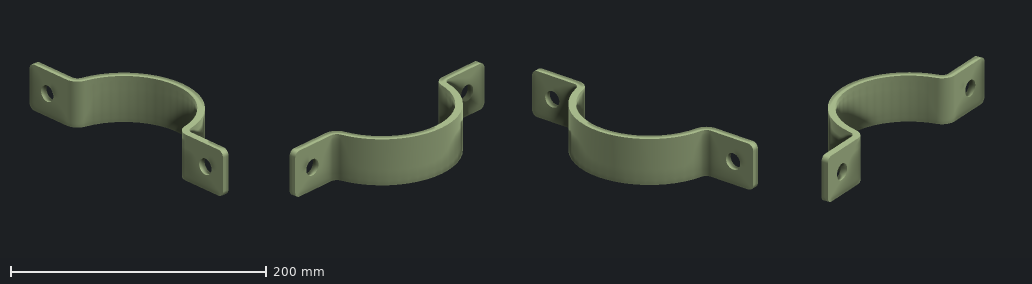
import cadquery as cq
import math

length = 220.0
depth = 61.0
width = 40.0
thickness = 6.0
saddle_outer_radius = 63.5
bend_inner_radius = 6.0
corner_radius = 5.0
hole_diameter = 14.0
hole_spacing = 180.0

saddle_inner_radius = saddle_outer_radius - thickness
bend_outer_radius = bend_inner_radius + thickness
saddle_center_y = depth - saddle_outer_radius
bend_center_y = bend_outer_radius
center_distance = saddle_outer_radius + bend_inner_radius
center_rise = bend_center_y - saddle_center_y
bend_center_x = math.sqrt(center_distance**2 - center_rise**2)
joint_angle = math.atan2(center_rise, bend_center_x)


def saddle_point(radius, side):
    """Point where the saddle arc of this radius meets the bend on one side."""
    return (
        side * radius * math.cos(joint_angle),
        saddle_center_y + radius * math.sin(joint_angle),
    )


def bend_middle(radius, side):
    """Middle of the bend arc, between the flange and the saddle joint."""
    angle = (joint_angle + math.pi / 2) / 2
    return (
        side * (bend_center_x - radius * math.cos(angle)),
        bend_center_y - radius * math.sin(angle),
    )


def make_strap():
    end_x = length / 2
    return (
        cq.Workplane("XY")
        .moveTo(-end_x, 0)
        .lineTo(-bend_center_x, 0)
        .threePointArc(bend_middle(bend_outer_radius, -1), saddle_point(saddle_inner_radius, -1))
        .threePointArc((0, depth - thickness), saddle_point(saddle_inner_radius, 1))
        .threePointArc(bend_middle(bend_outer_radius, 1), (bend_center_x, 0))
        .lineTo(end_x, 0)
        .lineTo(end_x, thickness)
        .lineTo(bend_center_x, thickness)
        .threePointArc(bend_middle(bend_inner_radius, 1), saddle_point(saddle_outer_radius, 1))
        .threePointArc((0, depth), saddle_point(saddle_outer_radius, -1))
        .threePointArc(bend_middle(bend_inner_radius, -1), (-bend_center_x, thickness))
        .lineTo(-end_x, thickness)
        .close()
        .extrude(width / 2, both=True)
    )


def round_flange_corners(strap):
    return strap.faces("<X or >X").edges("|Y").fillet(corner_radius)


def make_holes():
    return (
        cq.Workplane("XZ")
        .pushPoints([(-hole_spacing / 2, 0), (hole_spacing / 2, 0)])
        .circle(hole_diameter / 2)
        .extrude(-thickness)
    )


result = round_flange_corners(make_strap()).cut(make_holes())